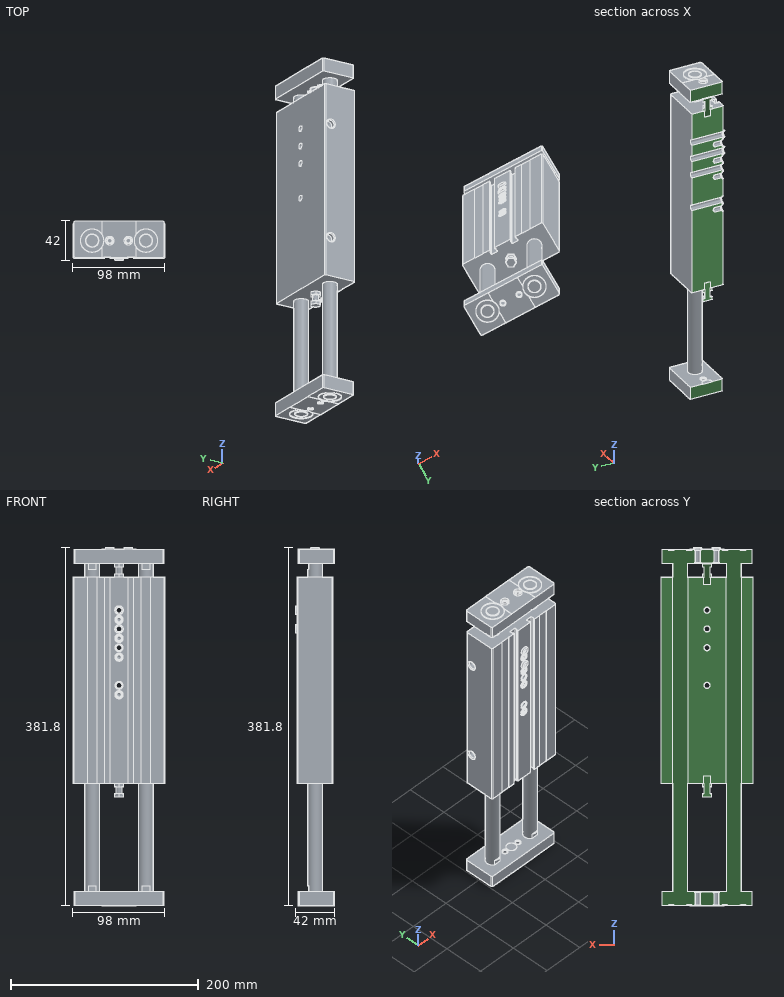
import cadquery as cq
import math


HOUSING_WIDTH = 98.0
HOUSING_DEPTH = 38.0
HOUSING_LENGTH = 220.0
HOUSING_BOTTOM = 130.0
HOUSING_TOP = HOUSING_BOTTOM + HOUSING_LENGTH
HOUSING_FRONT = -HOUSING_DEPTH / 2
EDGE_CHAMFER = 1.0

SENSOR_SLOT_X = 12.5
SLOT_MOUTH_WIDTH = 5.7
SLOT_MOUTH_DEPTH = 2.0
SLOT_INNER_WIDTH = 7.3
SLOT_DEPTH = 5.5
FACE_RELIEF_X = 28.5
FACE_RELIEF_WIDTH = 10.3
FACE_RELIEF_DEPTH = 0.2

HOLE_COLUMN_LENGTH = 90.0
HOLE_COLUMN_STEPS = 9
HOLE_PITCH = HOLE_COLUMN_LENGTH / HOLE_COLUMN_STEPS
TOP_HOLE_Z = 315.0
THROUGH_HOLE_STEPS = (0, 2, 4, 8)
BLIND_HOLE_STEPS = (1, 3, 5, HOLE_COLUMN_STEPS)
RINGED_HOLE_STEPS = (0, 2)
THROUGH_HOLE_DIAMETER = 6.0
THROUGH_MOUTH_DIAMETER = 8.5
BLIND_RIM_DIAMETER = 8.8
BLIND_MOUTH_DIAMETER = 6.5
BLIND_HOLE_DIAMETER = 5.0
BLIND_HOLE_DEPTH = 9.5
MOUTH_DEPTH = 1.0
DRILL_TIP_ANGLE = 118.0

PORT_Y = 11.5
PORT_HEIGHTS = (175.0, 305.5)
PORT_MOUTH_DIAMETER = 10.5
PORT_DIAMETER = 8.8
PORT_DEPTH = 5.7

FRAME_BACK = 21.0
PLATE_WIDTH = 96.0
PLATE_DEPTH = 39.0
PLATE_THICKNESS = 15.3
PLATE_CENTER_Y = FRAME_BACK - PLATE_DEPTH / 2
BOTTOM_PLATE_INNER = PLATE_THICKNESS
RAISED_STRIP_WIDTH = 36.0
STRIP_HEIGHT = 0.2
ROD_RECESS_DIAMETER = 25.0
ROD_RECESS_DEPTH = 1.0
ROD_END_DIAMETER = 14.0
ROD_END_CHAMFER = 0.5
STRIKE_RECESS_DIAMETER = 12.0
STRIKE_RECESS_DEPTH = 0.5
PLATE_HOLE_X = 10.0
PLATE_HOLE_DIAMETER = 5.0
PLATE_MOUTH_DIAMETER = 6.5

ROD_X = 28.5
ROD_DIAMETER = 16.0
ROD_FLAT_DISTANCE = 7.0
ROD_FLAT_LENGTH = 6.0

STOP_PROJECTION = 14.5
STOP_SHANK_DIAMETER = 6.5
STOP_THREAD_DEPTH = 7.5
HEX_ACROSS_FLATS = 10.0
HEX_CORNER_ANGLE = 30
HEX_CORNER_DIAMETER = HEX_ACROSS_FLATS / math.cos(math.radians(HEX_CORNER_ANGLE))
STOP_HEAD_HEIGHT = 4.0
NUT_HEIGHT = 3.5
TOP_PLATE_INNER = HOUSING_TOP + STOP_PROJECTION
TOP_PLATE_OUTER = TOP_PLATE_INNER + PLATE_THICKNESS

RING_OUTER_DIAMETER = 9.0
RING_INNER_DIAMETER = 6.0
RING_HEIGHT = 2.0


def cylinder(diameter, height, base, axis):
    """Cylinder that starts at the point `base` and runs along `axis`."""
    return cq.Workplane(cq.Solid.makeCylinder(diameter / 2, height, cq.Vector(base), cq.Vector(axis)))


def drilled_hole(mouth_diameter, diameter, depth, base, axis):
    """Cutter for a blind hole: a countersunk mouth, a straight bore and a conical drill tip."""
    mouth_radius = mouth_diameter / 2
    radius = diameter / 2
    tip = radius / math.tan(math.radians(DRILL_TIP_ANGLE / 2))
    profile = (
        cq.Workplane("XZ")
        .polyline([(0, 0), (mouth_radius, 0), (radius, MOUTH_DEPTH), (radius, depth), (0, depth + tip)])
        .close()
        .revolve(360, (0, 0), (0, 1))
    )
    plane = cq.Plane(origin=base, normal=axis)
    return profile.val().moved(cq.Location(plane))


def front_hole_z(step):
    return TOP_HOLE_Z - step * HOLE_PITCH


def make_housing():
    housing = (
        cq.Workplane("XY", origin=(0, 0, HOUSING_BOTTOM))
        .rect(HOUSING_WIDTH, HOUSING_DEPTH)
        .extrude(HOUSING_LENGTH)
        .edges("|Z")
        .chamfer(EDGE_CHAMFER)
    )

    grooves = (
        (FACE_RELIEF_X, FACE_RELIEF_WIDTH, 0, FACE_RELIEF_DEPTH),
        (SENSOR_SLOT_X, SLOT_MOUTH_WIDTH, 0, SLOT_MOUTH_DEPTH),
        (SENSOR_SLOT_X, SLOT_INNER_WIDTH, SLOT_MOUTH_DEPTH, SLOT_DEPTH),
    )
    for groove_x, width, start_depth, end_depth in grooves:
        housing = housing.cut(
            cq.Workplane("XY", origin=(0, HOUSING_FRONT + (start_depth + end_depth) / 2, HOUSING_BOTTOM))
            .pushPoints([(-groove_x, 0), (groove_x, 0)])
            .rect(width, end_depth - start_depth)
            .extrude(HOUSING_LENGTH)
        )

    for side in (-1, 1):
        housing = housing.cut(
            cylinder(ROD_DIAMETER, HOUSING_LENGTH, (side * ROD_X, 0, HOUSING_BOTTOM), (0, 0, 1))
        )
    for end_z, outward in ((HOUSING_BOTTOM, -1), (HOUSING_TOP, 1)):
        housing = housing.cut(
            cylinder(STOP_SHANK_DIAMETER, STOP_THREAD_DEPTH, (0, 0, end_z), (0, 0, -outward))
        )

    for step in THROUGH_HOLE_STEPS:
        mouth = (0, HOUSING_FRONT, front_hole_z(step))
        housing = housing.cut(cylinder(THROUGH_HOLE_DIAMETER, HOUSING_DEPTH, mouth, (0, 1, 0)))
        if step not in RINGED_HOLE_STEPS:
            housing = housing.cut(cylinder(THROUGH_MOUTH_DIAMETER, MOUTH_DEPTH, mouth, (0, 1, 0)))
    for step in BLIND_HOLE_STEPS:
        rim = (0, HOUSING_FRONT, front_hole_z(step))
        mouth = (0, HOUSING_FRONT + MOUTH_DEPTH, front_hole_z(step))
        housing = housing.cut(cylinder(BLIND_RIM_DIAMETER, MOUTH_DEPTH, rim, (0, 1, 0)))
        housing = housing.cut(
            drilled_hole(BLIND_MOUTH_DIAMETER, BLIND_HOLE_DIAMETER, BLIND_HOLE_DEPTH, mouth, (0, 1, 0))
        )

    for port_z in PORT_HEIGHTS:
        mouth = (-HOUSING_WIDTH / 2, PORT_Y, port_z)
        housing = housing.cut(drilled_hole(PORT_MOUTH_DIAMETER, PORT_DIAMETER, PORT_DEPTH, mouth, (1, 0, 0)))
    return housing


def make_plate():
    """End plate with its inner face on Z = 0 and its outer face up."""
    side_height = PLATE_THICKNESS - STRIP_HEIGHT
    plate = (
        cq.Workplane("XY", origin=(0, PLATE_CENTER_Y, 0))
        .rect(PLATE_WIDTH, PLATE_DEPTH)
        .extrude(side_height)
        .edges("|Z")
        .chamfer(EDGE_CHAMFER)
    )
    strip = (
        cq.Workplane("XY", origin=(0, PLATE_CENTER_Y, side_height))
        .rect(RAISED_STRIP_WIDTH, PLATE_DEPTH)
        .extrude(STRIP_HEIGHT)
    )
    plate = plate.union(strip)

    recess_floor = PLATE_THICKNESS - ROD_RECESS_DEPTH
    for side in (-1, 1):
        base = (side * ROD_X, 0, recess_floor)
        plate = plate.cut(cylinder(ROD_RECESS_DIAMETER, ROD_RECESS_DEPTH, base, (0, 0, 1)))
        rod_end = cylinder(ROD_END_DIAMETER, ROD_RECESS_DEPTH - STRIP_HEIGHT, base, (0, 0, 1))
        plate = plate.union(rod_end.faces(">Z").chamfer(ROD_END_CHAMFER))

    for side in (-1, 1):
        hole_x = side * PLATE_HOLE_X
        plate = plate.cut(cylinder(PLATE_HOLE_DIAMETER, PLATE_THICKNESS, (hole_x, 0, 0), (0, 0, 1)))
        for face_z, inward in ((0, 1), (PLATE_THICKNESS, -1)):
            plate = plate.cut(
                cylinder(PLATE_MOUTH_DIAMETER, MOUTH_DEPTH, (hole_x, 0, face_z), (0, 0, inward))
            )

    return plate.cut(cylinder(STRIKE_RECESS_DIAMETER, STRIKE_RECESS_DEPTH, (0, 0, 0), (0, 0, 1)))


def make_rod(rod_x):
    """Rod between the inner faces of the plates, with a front flat at each end."""
    length = TOP_PLATE_INNER - BOTTOM_PLATE_INNER
    rod = cylinder(ROD_DIAMETER, length, (rod_x, 0, BOTTOM_PLATE_INNER), (0, 0, 1))
    for flat_z in (BOTTOM_PLATE_INNER, TOP_PLATE_INNER - ROD_FLAT_LENGTH):
        rod = rod.cut(
            cq.Workplane("XY", origin=(rod_x, -ROD_FLAT_DISTANCE - ROD_DIAMETER / 2, flat_z))
            .rect(ROD_DIAMETER, ROD_DIAMETER)
            .extrude(ROD_FLAT_LENGTH)
        )
    return rod


def make_frame():
    plate = make_plate()
    top_plate = plate.translate((0, 0, TOP_PLATE_INNER))
    bottom_plate = plate.mirror("XY").translate((0, 0, BOTTOM_PLATE_INNER))
    frame = top_plate.union(make_rod(-ROD_X)).union(make_rod(ROD_X))
    return frame.union(bottom_plate)


def hexagon(height):
    """Hexagonal prism on Z = 0 with a corner toward the front."""
    prism = cq.Workplane("XY").polygon(6, HEX_CORNER_DIAMETER).extrude(height)
    return prism.rotate((0, 0, 0), (0, 0, 1), HEX_CORNER_ANGLE)


def make_stop_bolt():
    """Stop bolt pointing up, with the housing end face on Z = 0."""
    head = hexagon(STOP_HEAD_HEIGHT).translate((0, 0, STOP_PROJECTION - STOP_HEAD_HEIGHT))
    shank_length = STOP_THREAD_DEPTH + STOP_PROJECTION - STOP_HEAD_HEIGHT
    return head.union(cylinder(STOP_SHANK_DIAMETER, shank_length, (0, 0, -STOP_THREAD_DEPTH), (0, 0, 1)))


def make_lock_nut():
    """Lock nut lying on Z = 0."""
    return hexagon(NUT_HEIGHT).cut(cylinder(STOP_SHANK_DIAMETER, NUT_HEIGHT, (0, 0, 0), (0, 0, 1)))


def at_both_ends(body):
    """Two copies of a body that stands on Z = 0: one on each end face of the housing."""
    return [
        body.translate((0, 0, HOUSING_TOP)).val(),
        body.mirror("XY").translate((0, 0, HOUSING_BOTTOM)).val(),
    ]


def make_ring(seat, outward):
    """Round-topped ring that rests on a face at the point `seat`."""
    inner_radius = RING_INNER_DIAMETER / 2
    outer_radius = RING_OUTER_DIAMETER / 2
    crown_radius = (outer_radius - inner_radius) / 2
    ridge_radius = inner_radius + crown_radius
    wall_height = RING_HEIGHT - crown_radius
    ring = (
        cq.Workplane("XZ")
        .moveTo(inner_radius, 0)
        .lineTo(outer_radius, 0)
        .lineTo(outer_radius, wall_height)
        .radiusArc((ridge_radius, RING_HEIGHT), -crown_radius)
        .radiusArc((inner_radius, wall_height), -crown_radius)
        .close()
        .revolve(360, (0, 0), (0, 1))
    )
    return ring.val().moved(cq.Location(cq.Plane(origin=seat, normal=outward)))


housing = make_housing()
frame = make_frame()
stop_bolts = at_both_ends(make_stop_bolt())
lock_nuts = at_both_ends(make_lock_nut())
rings = [make_ring((0, HOUSING_FRONT, front_hole_z(step)), (0, -1, 0)) for step in RINGED_HOLE_STEPS]
rings += [make_ring((side * PLATE_HOLE_X, 0, TOP_PLATE_OUTER), (0, 0, 1)) for side in (-1, 1)]

result = cq.Compound.makeCompound([housing.val(), frame.val(), *stop_bolts, *lock_nuts, *rings])